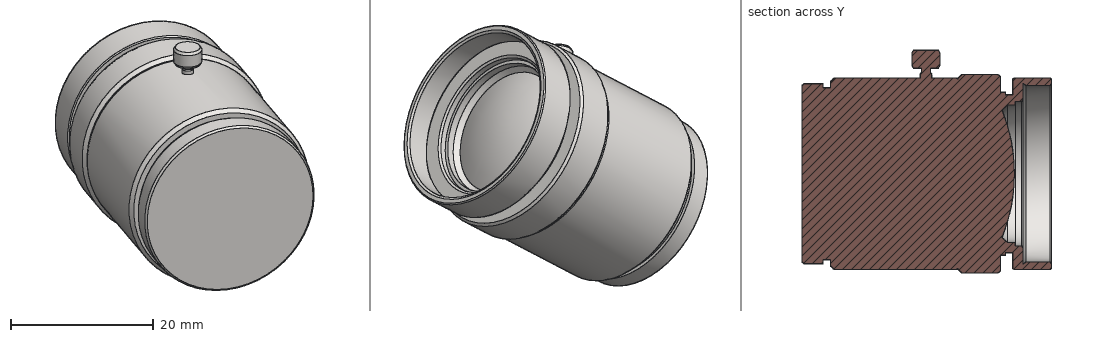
import cadquery as cq
import math

FRONT_RING_END = 5.5
NECK_END = 6.47
STEP_END = 7.17
GRIP_END = 13.2
BARREL_END = 31.15
REAR_NECK_END = 32.18
LENGTH = 35.17

BARREL_DIA = 27.0
NECK_DIA = 22.3
STEP_DIA = 23.0
GRIP_DIA = 28.0
REAR_NECK_DIA = 24.3
REAR_RING_DIA = 25.4

FRONT_RING_CHAMFER = 0.18
GRIP_FRONT_CHAMFER = 0.35
GRIP_REAR_CHAMFER = 0.53
BARREL_FRONT_CHAMFER = 0.2
BARREL_REAR_CHAMFER = 0.53
REAR_RING_CHAMFER = 0.28

MOUTH_DIA = 25.5
HOOD_DIA = 24.8
HOOD_DEPTH = 4.0
RELIEF_START = 3.62
BORE_CHAMFER_DEPTH = 0.2
SEAT_MOUTH_DIA = 21.0
SEAT_DIA = 20.3
SEAT_DEPTH = 5.1
RETAINER_DIA = 19.3
RETAINER_DEPTH = 6.23
LENS_DIA = 18.0
LENS_EDGE_DEPTH = 6.95
LENS_BULGE = 1.75

SCREW_X = 17.7
SCREW_TOP = 17.4
KNOB_DIA = 4.0
KNOB_HEIGHT = 2.55
KNOB_CHAMFER_HEIGHT = 0.4
KNOB_CHAMFER_WIDTH = 0.25
SHANK_DIA = 1.3
COLLAR_DIA = 1.7
COLLAR_TOP = 14.2
COLLAR_CHAMFER = 0.15
SCREW_ROOT = 12.65


def turned_section(start, end, diameter, front_chamfer=0.0, rear_chamfer=0.0):
    """Solid disc along X with optional chamfers on its two rims."""
    disc = cq.Workplane("YZ", origin=(start, 0, 0)).circle(diameter / 2).extrude(end - start)
    if front_chamfer:
        disc = disc.faces("<X").chamfer(front_chamfer)
    if rear_chamfer:
        disc = disc.faces(">X").chamfer(rear_chamfer)
    return disc


def make_body():
    body = turned_section(0, FRONT_RING_END, BARREL_DIA, FRONT_RING_CHAMFER, FRONT_RING_CHAMFER)
    sections = (
        turned_section(FRONT_RING_END, NECK_END, NECK_DIA),
        turned_section(NECK_END, STEP_END, STEP_DIA),
        turned_section(STEP_END, GRIP_END, GRIP_DIA, GRIP_FRONT_CHAMFER, GRIP_REAR_CHAMFER),
        turned_section(GRIP_END, BARREL_END, BARREL_DIA, BARREL_FRONT_CHAMFER, BARREL_REAR_CHAMFER),
        turned_section(BARREL_END, REAR_NECK_END, REAR_NECK_DIA),
        turned_section(REAR_NECK_END, LENGTH, REAR_RING_DIA, rear_chamfer=REAR_RING_CHAMFER),
    )
    for section in sections:
        body = body.union(section)
    return body


def make_bore():
    """Revolved cavity, flared at both ends of the hood, whose floor is the convex lens surface."""
    lens_radius = LENS_DIA / 2
    sphere_radius = (lens_radius**2 + LENS_BULGE**2) / (2 * LENS_BULGE)
    lens_apex = LENS_EDGE_DEPTH - LENS_BULGE
    half_angle = math.asin(lens_radius / sphere_radius) / 2
    lens_middle = (
        lens_apex + sphere_radius * (1 - math.cos(half_angle)),
        sphere_radius * math.sin(half_angle),
    )
    return (
        cq.Workplane("XY")
        .moveTo(0, 0)
        .lineTo(0, MOUTH_DIA / 2)
        .lineTo(BORE_CHAMFER_DEPTH, HOOD_DIA / 2)
        .lineTo(RELIEF_START, HOOD_DIA / 2)
        .lineTo(HOOD_DEPTH, MOUTH_DIA / 2)
        .lineTo(HOOD_DEPTH, SEAT_MOUTH_DIA / 2)
        .lineTo(HOOD_DEPTH + BORE_CHAMFER_DEPTH, SEAT_DIA / 2)
        .lineTo(SEAT_DEPTH, SEAT_DIA / 2)
        .lineTo(SEAT_DEPTH, RETAINER_DIA / 2)
        .lineTo(RETAINER_DEPTH, RETAINER_DIA / 2)
        .lineTo(LENS_EDGE_DEPTH, lens_radius)
        .threePointArc(lens_middle, (lens_apex, 0))
        .close()
        .revolve(360, (0, 0, 0), (1, 0, 0))
    )


def make_screw():
    knob_bottom = SCREW_TOP - KNOB_HEIGHT
    knob_radius = KNOB_DIA / 2
    knob_rim = knob_radius - KNOB_CHAMFER_WIDTH
    collar_radius = COLLAR_DIA / 2
    return (
        cq.Workplane("XZ", origin=(SCREW_X, 0, 0))
        .moveTo(0, SCREW_ROOT)
        .lineTo(collar_radius, SCREW_ROOT)
        .lineTo(collar_radius, COLLAR_TOP - COLLAR_CHAMFER)
        .lineTo(collar_radius - COLLAR_CHAMFER, COLLAR_TOP)
        .lineTo(SHANK_DIA / 2, COLLAR_TOP)
        .lineTo(SHANK_DIA / 2, knob_bottom)
        .lineTo(knob_rim, knob_bottom)
        .lineTo(knob_radius, knob_bottom + KNOB_CHAMFER_HEIGHT)
        .lineTo(knob_radius, SCREW_TOP - KNOB_CHAMFER_HEIGHT)
        .lineTo(knob_rim, SCREW_TOP)
        .lineTo(0, SCREW_TOP)
        .close()
        .revolve(360, (0, 0, 0), (0, 1, 0))
    )


result = make_body().cut(make_bore()).union(make_screw())